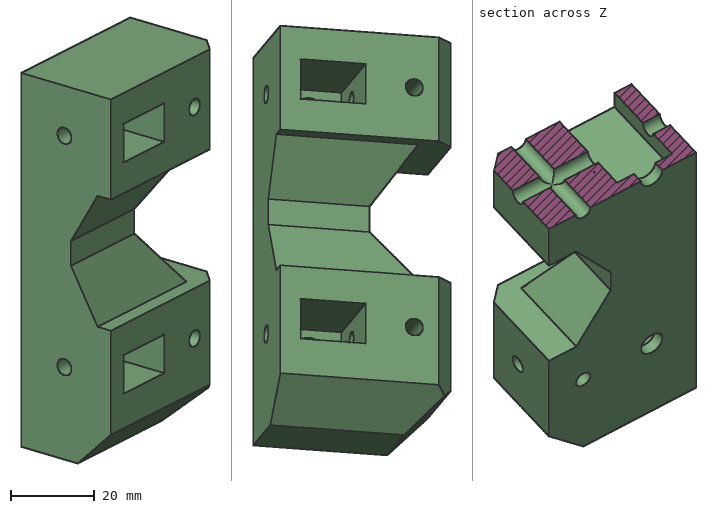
import cadquery as cq

width = 27.0
depth = 43.0
height = 97.0

bottom_chamfer = 10.0
corner_chamfer = 4.0

hole_levels_from_top = (13.0, 73.0)
small_hole_diameter = 4.2
large_hole_diameter = 6.2
y_hole_from_left = 13.0
small_x_hole_from_back = 10.0
large_x_hole_from_back = 30.0
small_x_hole_y = depth - small_x_hole_from_back
large_x_hole_y = depth - large_x_hole_from_back

notch_center_z = height - sum(hole_levels_from_top) / 2
notch_mouth = 34.0
notch_floor = 6.4
x_notch_step = 4.0
x_notch_depth = 12.0
y_notch_step = 8.0
y_notch_depth = 18.0

pocket_wall = 3.0
pocket_size_y = 16.0
pocket_size_z = 10.0


def side_outline(plane, length, notch_step, notch_depth):
    """Side profile with a tapered notch and a chamfered bottom corner on its far side."""
    mouth_bottom = notch_center_z - notch_mouth / 2
    mouth_top = notch_center_z + notch_mouth / 2
    floor_bottom = notch_center_z - notch_floor / 2
    floor_top = notch_center_z + notch_floor / 2
    points = [
        (0, 0),
        (length - bottom_chamfer, 0),
        (length, bottom_chamfer),
        (length, mouth_bottom),
        (length - notch_step, mouth_bottom),
        (length - notch_depth, floor_bottom),
        (length - notch_depth, floor_top),
        (length - notch_step, mouth_top),
        (length, mouth_top),
        (length, height),
        (0, height),
    ]
    return cq.Workplane(plane).polyline(points).close()


def make_body():
    """Block common to both notched profiles, with the +X +Y corner cut off."""
    x_profile = side_outline("XZ", width, x_notch_step, x_notch_depth).extrude(-depth)
    y_profile = side_outline("YZ", depth, y_notch_step, y_notch_depth).extrude(width)
    plan = (
        cq.Workplane("XY")
        .rect(width, depth, centered=False)
        .extrude(height)
        .edges("|Z and >X and >Y")
        .chamfer(corner_chamfer)
    )
    return plan.intersect(x_profile).intersect(y_profile)


def hole_pair(plane, position, diameter, length):
    """Two drills through the block, one at each hole level."""
    centers = [(position, height - drop) for drop in hole_levels_from_top]
    return cq.Workplane(plane).pushPoints(centers).circle(diameter / 2).extrude(length)


def fastener_pockets():
    """Pockets open at +X that leave a thin -X wall for the large holes to pass through."""
    centers = [(large_x_hole_y, height - drop) for drop in hole_levels_from_top]
    return (
        cq.Workplane("YZ", origin=(pocket_wall, 0, 0))
        .pushPoints(centers)
        .rect(pocket_size_y, pocket_size_z)
        .extrude(width - pocket_wall)
    )


result = (
    make_body()
    .cut(hole_pair("XZ", y_hole_from_left, small_hole_diameter, -depth))
    .cut(hole_pair("YZ", small_x_hole_y, small_hole_diameter, width))
    .cut(hole_pair("YZ", large_x_hole_y, large_hole_diameter, width))
    .cut(fastener_pockets())
)